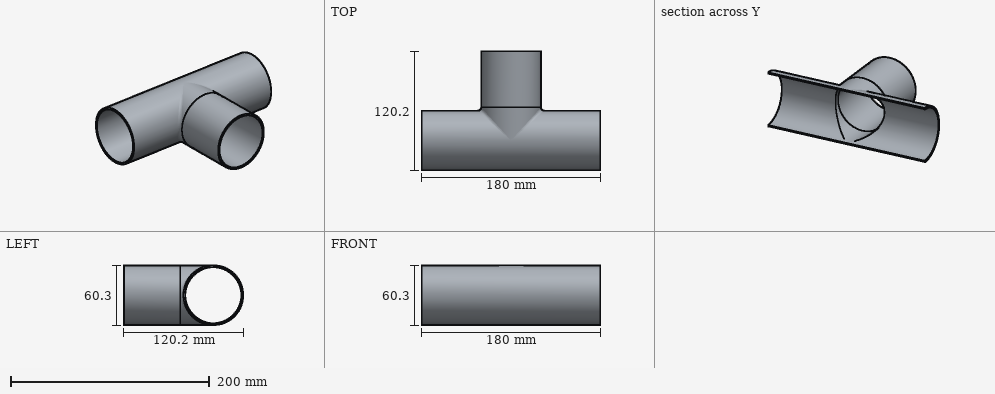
import cadquery as cq

outer_diameter = 60.3
wall = 2.0
outer_radius = outer_diameter / 2
inner_radius = outer_radius - wall

run_length = 180.0
branch_reach = 90.0
crotch_radius = 3.0

collar_margin = 0.25
collar_reach = outer_radius + crotch_radius + collar_margin


def run_cylinder(radius):
    """Solid cylinder along X, centred on the origin."""
    return cq.Workplane("YZ").circle(radius).extrude(run_length / 2, both=True)


def branch_cylinder(radius, start, end):
    """Solid cylinder along +Y from start to end."""
    return cq.Workplane("XZ", origin=(0, start, 0)).circle(radius).extrude(start - end)


def make_tee():
    """Run pipe with the branch collar, filleted along the saddle seam and bored through."""
    body = run_cylinder(outer_radius).union(branch_cylinder(outer_radius, 0, collar_reach))
    saddle_seam = body.edges("%ELLIPSE")
    body = saddle_seam.fillet(crotch_radius)
    return body.cut(run_cylinder(inner_radius)).cut(branch_cylinder(inner_radius, 0, collar_reach))


def make_branch_pipe():
    """Straight pipe from the collar out to the branch end."""
    pipe = branch_cylinder(outer_radius, collar_reach, branch_reach)
    return pipe.cut(branch_cylinder(inner_radius, collar_reach, branch_reach))


tee = make_tee()
branch_pipe = make_branch_pipe()

result = cq.Compound.makeCompound([tee.solids().val(), branch_pipe.solids().val()])